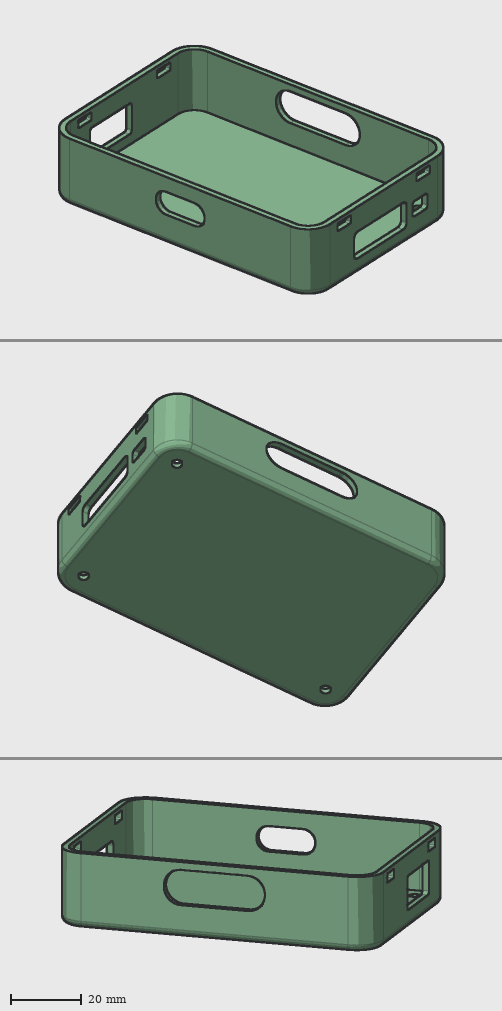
import cadquery as cq

length = 96
width = 65.0
height = 22.0
wall = 2.0
floor = 2.0
corner_radius = 8.0
bottom_fillet = 2.0

screw_diameter = 3.0
screw_inset = 7.5

front_slot_length = 17.7
front_slot_height = 7.5
front_slot_z = 13.3
back_slot_length = 30.3
back_slot_height = 10.4
back_slot_z = 14.5

catch_width = 6.0
catch_height = 2.6
catch_radius = 0.5
catch_spacing = 36.1
catch_z = 19.3

left_port_bottom = 5.4
right_port_bottom = 5.0
left_port_width = 19.1
left_port_height = 10.1
left_port_y = -6.1
left_port_radius = 1
right_port_width = 24
right_port_height = 8.8
right_port_y = -1.5
right_port_radius = 1.6
small_port_width = 6.8
small_port_height = 5.0
small_port_y = 16.6
small_port_z = 9.5
small_port_radius = 1

cut_depth = 2 * wall


def tray():
    outer = cq.Workplane("XY").box(length, width, height, centered=(True, True, False))
    outer = outer.edges("|Z").fillet(corner_radius).faces("<Z").edges().fillet(bottom_fillet)
    cavity = (
        cq.Workplane("XY", origin=(0, 0, floor))
        .box(length - 2 * wall, width - 2 * wall, height, centered=(True, True, False))
        .edges("|Z")
        .fillet(corner_radius - wall)
    )
    return outer.cut(cavity)


def screw_holes():
    x = length / 2 - screw_inset
    y = width / 2 - screw_inset
    corners = [(x, y), (x, -y), (-x, -y)]
    return cq.Workplane("XY").pushPoints(corners).circle(screw_diameter / 2).extrude(floor)


def long_wall_slot(side, slot_length, slot_height, z):
    """Round-ended cutter through the long wall on the given side of Y."""
    wall_middle = side * (width - wall) / 2
    return (
        cq.Workplane("XZ", origin=(0, wall_middle, z))
        .slot2D(slot_length, slot_height)
        .extrude(cut_depth / 2, both=True)
    )


def short_wall_port(side, port_width, port_height, radius, y, z):
    """Rounded rectangular cutter through the short wall on the given side of X."""
    wall_middle = side * (length - wall) / 2
    port = cq.Workplane("XY").box(cut_depth, port_width, port_height)
    return port.edges("|X").fillet(radius).translate((wall_middle, y, z))


result = tray().cut(screw_holes())

result = result.cut(long_wall_slot(-1, front_slot_length, front_slot_height, front_slot_z))
result = result.cut(long_wall_slot(1, back_slot_length, back_slot_height, back_slot_z))

for wall_side in (-1, 1):
    for catch_y in (-catch_spacing / 2, catch_spacing / 2):
        catch = short_wall_port(wall_side, catch_width, catch_height, catch_radius, catch_y, catch_z)
        result = result.cut(catch)

left_port_z = left_port_bottom + left_port_height / 2
right_port_z = right_port_bottom + right_port_height / 2
result = result.cut(
    short_wall_port(-1, left_port_width, left_port_height, left_port_radius, left_port_y, left_port_z)
)
result = result.cut(
    short_wall_port(1, right_port_width, right_port_height, right_port_radius, right_port_y, right_port_z)
)
result = result.cut(
    short_wall_port(1, small_port_width, small_port_height, small_port_radius, small_port_y, small_port_z)
)